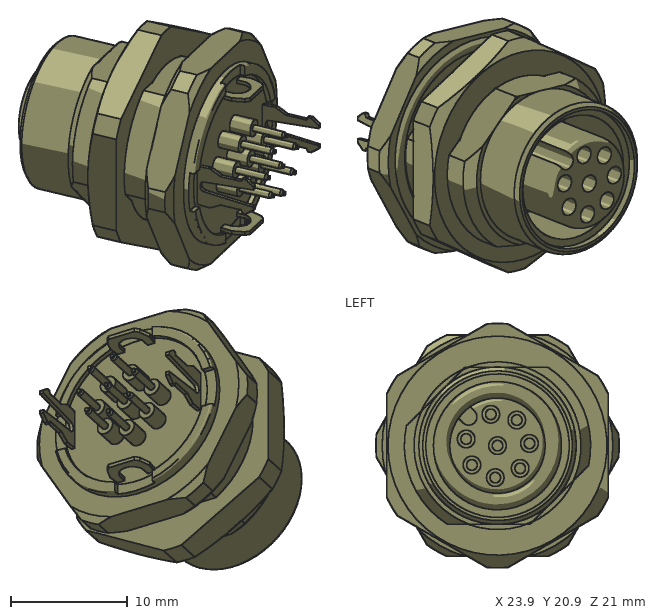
import cadquery as cq
import math


SHELL_FRONT = 1.5
SHELL_DIA = 13.5
SHELL_CHAMFER = 0.33
MOUTH_DIA = 12.3
MOUTH_DEPTH = 0.72
SOCKET_DIA = 11.0
SOCKET_FLOOR = 10.75
BARREL_START = 6.5
BARREL_DIA = 16.0
BARREL_CHAMFER = 0.84
FLAT_SPACING = 13.45
FLAT_TILTS = (0, -45)
FLANGE_START = 15.27
FLANGE_END = 18.0
FLANGE_CHAMFER = 0.55
COLLAR_END = 18.95
COLLAR_FILLET = 0.17
TAB_SLOT_WIDTH = 3.68

BEAD_RADIUS = 0.62
BEAD_FRONT = 14.99
BEAD_RING_RADIUS = BARREL_DIA / 2 + BEAD_RADIUS

HEX_ACROSS_FLATS = 19.0
FLANGE_CORNER_DIA = 20.9
NUT_CORNER_DIA = 20.98

NUT_START = 9.51
NUT_END = 12.3
NUT_CHAMFER_LENGTH = 0.53
NUT_FACE_DIA = 18.79
NUT_BORE_DIA = 14.39

NOSE_DIA = 8.17
NOSE_FILLET = 0.53
KEY_WIDTH = 1.4
KEY_RADIUS = 3.5
KEY_ANGLE = 45
SEAL_RADIUS = (SOCKET_DIA - NOSE_DIA) / 4
SEAL_SHOULDER = SOCKET_FLOOR - SEAL_RADIUS
CARRIER_DIA = 14.1
CARRIER_START = 16.25
CONTACT_CIRCLE_RADIUS = 2.75
CONTACT_STEP_ANGLE = 49
SIDE_CONTACTS = 3
CONTACT_HOLE_DIA = 1.5
CONTACT_HOLE_DEPTH = 1.91
CONTACT_BORE_DIA = 0.9
CONTACT_BORE_DEPTH = 4.78
SLEEVE_DIA = CONTACT_HOLE_DIA
SLEEVE_END = 20.45
PIN_DIA = 0.6
PIN_TIP_DIA = 0.35
PIN_TAPER_START = 23.28
PIN_TAPER_END = 23.47
PIN_END = 23.61

TAB_ROOT = 18.5
TAB_THICKNESS = 0.33
FORK_INNER_FACE = 6.07
LOOP_INNER_FACE = 6.3
FORK_SHOULDER_X = 19.75
FORK_SHOULDER_HALF_WIDTH = 1.91
FORK_LEG_START = 20.77
FORK_LEG_END = 22.73
FORK_LEG_HALF_WIDTH = 1.39
FORK_BARB_START = 22.85
FORK_BARB_END = 23.18
FORK_BARB_HALF_WIDTH = 1.67
FORK_END = 23.9
FORK_TIP_HALF_WIDTH = 1.15
FORK_MOUTH_HALF_WIDTH = 0.84
FORK_SLOT_START = 18.79
FORK_SLOT_RADIUS = 0.48
LOOP_SHOULDER_X = 19.57
LOOP_SHOULDER_HALF_WIDTH = 1.95
LOOP_END = 21.0
LOOP_END_HALF_WIDTH = 1.27
LOOP_CORNER = 0.33
LOOP_HOLE_END = 20.3
LOOP_HOLE_STRAIGHT_END = 19.3
LOOP_HOLE_HALF_WIDTH = 1.15


def turned(profile):
    """Solid of revolution about X from (x, radius) points, closed along the axis."""
    outline = [(profile[0][0], 0)] + profile + [(profile[-1][0], 0)]
    return cq.Workplane("XY").polyline(outline).close().revolve(360, (0, 0, 0), (1, 0, 0))


def rod(start, end, diameter, y=0, z=0):
    """Cylinder along X between two stations."""
    return cq.Workplane("YZ", origin=(start, 0, 0)).center(y, z).circle(diameter / 2).extrude(end - start)


def ring_bead(center_x, ring_radius, bead_radius):
    """Torus about X."""
    section = cq.Workplane("XY").center(center_x, ring_radius).circle(bead_radius)
    return section.revolve(360, (-0.25, -ring_radius, 0), (0.25, -ring_radius, 0))


def hexagon(start, end, turn):
    """Hexagonal prism along X; with no turn two corners point along Z."""
    blank = cq.Workplane("YZ", origin=(start, 0, 0)).polygon(6, HEX_ACROSS_FLATS, circumscribed=True)
    return blank.extrude(end - start).rotate((0, 0, 0), (1, 0, 0), turn)


def flat_limits():
    """Pair of slabs whose common part carries the flats of the barrel."""
    length = FLANGE_START - BARREL_START
    wide = 2 * BARREL_DIA
    slabs = [
        cq.Workplane("XY")
        .box(length, wide, FLAT_SPACING, centered=(False, True, True))
        .translate((BARREL_START, 0, 0))
        .rotate((0, 0, 0), (1, 0, 0), tilt)
        for tilt in FLAT_TILTS
    ]
    return slabs[0].intersect(slabs[1])


def barrel():
    """Threaded barrel with its flats, necked down where the nut sits."""
    radius = BARREL_DIA / 2
    neck_radius = NUT_BORE_DIA / 2
    blank = turned([
        (BARREL_START, radius - BARREL_CHAMFER),
        (BARREL_START + BARREL_CHAMFER, radius),
        (NUT_START, radius),
        (NUT_START, neck_radius),
        (NUT_END, neck_radius),
        (NUT_END, radius),
        (FLANGE_START, radius),
    ])
    return blank.intersect(flat_limits())


def flange():
    """Hexagonal flange with both faces chamfered at the corners."""
    radius = FLANGE_CORNER_DIA / 2
    envelope = turned([
        (FLANGE_START, radius - FLANGE_CHAMFER),
        (FLANGE_START + FLANGE_CHAMFER, radius),
        (FLANGE_END - FLANGE_CHAMFER, radius),
        (FLANGE_END, radius - FLANGE_CHAMFER),
    ])
    return hexagon(FLANGE_START, FLANGE_END, 90).intersect(envelope)


def collar():
    """Round collar behind the flange, slotted for the four solder tabs."""
    blank = rod(FLANGE_END, COLLAR_END, BARREL_DIA).faces(">X").edges().fillet(COLLAR_FILLET)
    slot_depth = COLLAR_END - TAB_ROOT
    for width_y, width_z in ((BARREL_DIA, TAB_SLOT_WIDTH), (TAB_SLOT_WIDTH, BARREL_DIA)):
        slot = cq.Workplane("XY").box(slot_depth, width_y, width_z, centered=(False, True, True))
        blank = blank.cut(slot.translate((TAB_ROOT, 0, 0)))
    return blank


def make_housing():
    shell_radius = SHELL_DIA / 2
    shell = turned([
        (SHELL_FRONT, shell_radius - SHELL_CHAMFER),
        (SHELL_FRONT + SHELL_CHAMFER, shell_radius),
        (BARREL_START, shell_radius),
    ])
    bead = ring_bead(BEAD_FRONT + BEAD_RADIUS, BEAD_RING_RADIUS, BEAD_RADIUS)
    body = shell.union(barrel()).union(flange()).union(collar()).union(bead)
    return (
        body.cut(rod(SHELL_FRONT, SHELL_FRONT + MOUTH_DEPTH, MOUTH_DIA))
        .cut(rod(SHELL_FRONT, SOCKET_FLOOR, SOCKET_DIA))
        .cut(rod(SOCKET_FLOOR, CARRIER_START, NOSE_DIA))
        .cut(rod(CARRIER_START, COLLAR_END, CARRIER_DIA))
    )


def make_nut():
    corner_radius = NUT_CORNER_DIA / 2
    envelope = turned([
        (NUT_START, NUT_FACE_DIA / 2),
        (NUT_START + NUT_CHAMFER_LENGTH, corner_radius),
        (NUT_END, corner_radius),
    ])
    blank = hexagon(NUT_START, NUT_END, 0).intersect(envelope)
    return blank.cut(rod(NUT_START, NUT_END, NUT_BORE_DIA))


def contact_places():
    """(y, z) of the centre contact and of the ring that leaves room for the key."""
    places = [(0, 0)]
    for step in range(-SIDE_CONTACTS, SIDE_CONTACTS + 1):
        angle = math.radians(KEY_ANGLE + 180 + step * CONTACT_STEP_ANGLE)
        places.append((CONTACT_CIRCLE_RADIUS * math.cos(angle), CONTACT_CIRCLE_RADIUS * math.sin(angle)))
    return places


def seal():
    """Round-crested seal ring on the socket floor, filling the gap round the nose."""
    inner = NOSE_DIA / 2
    outer = SOCKET_DIA / 2
    section = (
        cq.Workplane("XY")
        .moveTo(SOCKET_FLOOR, inner)
        .lineTo(SEAL_SHOULDER, inner)
        .threePointArc((SEAL_SHOULDER - SEAL_RADIUS, inner + SEAL_RADIUS), (SEAL_SHOULDER, outer))
        .lineTo(SOCKET_FLOOR, outer)
        .close()
    )
    return section.revolve(360, (0, 0, 0), (1, 0, 0))


def key_slot():
    """Round-bottomed keyway along the nose, up to the seal."""
    floor = rod(0, SEAL_SHOULDER, KEY_WIDTH, KEY_RADIUS)
    opening = cq.Workplane("XY").box(SEAL_SHOULDER, NOSE_DIA / 2, KEY_WIDTH, centered=(False, False, True))
    slot = floor.union(opening.translate((0, KEY_RADIUS, 0)))
    return slot.rotate((0, 0, 0), (1, 0, 0), KEY_ANGLE)


def contact_tail(y, z):
    """Insulating sleeve and solder pin of one contact, behind the carrier."""
    pin_radius = PIN_DIA / 2
    tip_radius = PIN_TIP_DIA / 2
    pin = turned([
        (TAB_ROOT, pin_radius),
        (PIN_TAPER_START, pin_radius),
        (PIN_TAPER_END, tip_radius),
        (PIN_END, tip_radius),
    ])
    return rod(TAB_ROOT, SLEEVE_END, SLEEVE_DIA, y, z).union(pin.translate((0, y, z)))


def fork_tab():
    """Snap-in fork, flat in XZ, on the -Y side."""
    edge = [
        (TAB_ROOT, TAB_SLOT_WIDTH / 2),
        (FORK_SHOULDER_X, FORK_SHOULDER_HALF_WIDTH),
        (FORK_LEG_START, FORK_LEG_HALF_WIDTH),
        (FORK_LEG_END, FORK_LEG_HALF_WIDTH),
        (FORK_BARB_START, FORK_BARB_HALF_WIDTH),
        (FORK_BARB_END, FORK_BARB_HALF_WIDTH),
        (FORK_END, FORK_TIP_HALF_WIDTH),
    ]
    mouth = (FORK_END, FORK_MOUTH_HALF_WIDTH)
    slot_shoulder = FORK_SLOT_START + FORK_SLOT_RADIUS
    outline = (
        cq.Workplane("XZ", origin=(0, -FORK_INNER_FACE, 0))
        .polyline(edge + [mouth, (slot_shoulder, FORK_SLOT_RADIUS)])
        .threePointArc((FORK_SLOT_START, 0), (slot_shoulder, -FORK_SLOT_RADIUS))
        .lineTo(mouth[0], -mouth[1])
    )
    for x, z in reversed(edge):
        outline = outline.lineTo(x, -z)
    return outline.close().extrude(TAB_THICKNESS)


def loop_tab():
    """Solder loop, flat in XY, on the +Z side."""
    edge = [
        (TAB_ROOT, TAB_SLOT_WIDTH / 2),
        (LOOP_SHOULDER_X, LOOP_SHOULDER_HALF_WIDTH),
        (LOOP_END - LOOP_CORNER, LOOP_END_HALF_WIDTH + LOOP_CORNER),
        (LOOP_END, LOOP_END_HALF_WIDTH),
    ]
    mirrored = [(x, -y) for x, y in reversed(edge)]
    plane = cq.Workplane("XY", origin=(0, 0, LOOP_INNER_FACE))
    plate = plane.polyline(edge + mirrored).close().extrude(TAB_THICKNESS)
    hole = (
        plane.moveTo(TAB_ROOT, -LOOP_HOLE_HALF_WIDTH)
        .lineTo(LOOP_HOLE_STRAIGHT_END, -LOOP_HOLE_HALF_WIDTH)
        .threePointArc((LOOP_HOLE_END, 0), (LOOP_HOLE_STRAIGHT_END, LOOP_HOLE_HALF_WIDTH))
        .lineTo(TAB_ROOT, LOOP_HOLE_HALF_WIDTH)
        .close()
        .extrude(TAB_THICKNESS)
    )
    return plate.cut(hole)


def make_insert():
    nose = rod(0, CARRIER_START, NOSE_DIA).faces("<X").edges().fillet(NOSE_FILLET)
    body = nose.cut(key_slot()).union(seal()).union(rod(CARRIER_START, TAB_ROOT, CARRIER_DIA))
    for y, z in contact_places():
        body = body.cut(rod(0, CONTACT_HOLE_DEPTH, CONTACT_HOLE_DIA, y, z))
        body = body.cut(rod(0, CONTACT_BORE_DEPTH, CONTACT_BORE_DIA, y, z))
        body = body.union(contact_tail(y, z))
    for tab in (fork_tab(), loop_tab()):
        body = body.union(tab).union(tab.rotate((0, 0, 0), (1, 0, 0), 180))
    return body


housing = make_housing()
nut = make_nut()
insert = make_insert()

result = cq.Compound.makeCompound([housing.val(), nut.val(), insert.val()])